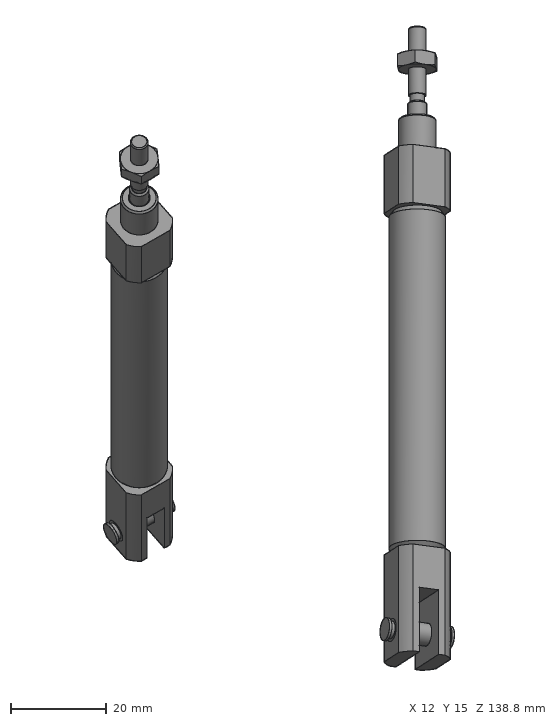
import cadquery as cq
import math

total_height = 138.8
clevis_top = 23.5
head_bottom = 98.4
head_top = 111.2
boss_top = 119.0

block_width = 12.0
block_corner_diameter = 14.0

tube_diameter = block_width
tube_cone_height = 1.1
tube_cone_depth = 0.8

boss_diameter = 7.9
boss_chamfer = 0.4
bore_mouth_chamfer = 0.3
bore_mouth_angle = 90

rod_diameter = 4.0
thread_diameter = 3.7
groove_diameter = 3.0
groove_bottom = 122.5
groove_top = 124.1
shoulder_chamfer = 0.4
rod_tip_chamfer = 0.3

slot_width = 4.5
slot_depth = 14.2

pin_height = 6.0
pin_diameter = 4.9
pin_length = 15.0
pin_disc_thickness = 0.5
pin_neck_diameter = 3.7

nut_bottom = 129.8
nut_thickness = 3.0
nut_across_flats = 7.9
nut_chamfer_angle = 20


def upright_cylinder(diameter, bottom, top):
    """Round bar on the Z axis between two heights."""
    return cq.Workplane("XY", origin=(0, 0, bottom)).circle(diameter / 2).extrude(top - bottom)


def coned_cylinder(diameter, bottom, top, cone_height, cone_depth):
    """Round bar on the Z axis, narrowed by a cone at both ends."""
    radius = diameter / 2
    end_radius = radius - cone_depth
    return (
        cq.Workplane("XZ")
        .moveTo(0, bottom)
        .lineTo(end_radius, bottom)
        .lineTo(radius, bottom + cone_height)
        .lineTo(radius, top - cone_height)
        .lineTo(end_radius, top)
        .lineTo(0, top)
        .close()
        .revolve(360, (0, 0, 0), (0, 1, 0))
    )


def end_block(bottom, top):
    """Square bar with rounded corners between two heights."""
    square = cq.Workplane("XY", origin=(0, 0, bottom)).rect(block_width, block_width).extrude(top - bottom)
    return square.intersect(upright_cylinder(block_corner_diameter, bottom, top))


def pin_cylinder(diameter, length):
    """Round bar along the pin axis, centred between the clevis cheeks."""
    return cq.Workplane("XZ", origin=(0, length / 2, pin_height)).circle(diameter / 2).extrude(length)


def make_clevis():
    """Lower block with the slot and the pin hole."""
    slot = cq.Workplane("XY").box(block_width, slot_width, slot_depth, centered=(True, True, False))
    return end_block(0, clevis_top).cut(slot).cut(pin_cylinder(pin_diameter, block_width))


def make_boss():
    """Boss with a bore through it, chamfered at the mouth."""
    boss = upright_cylinder(boss_diameter, head_top, boss_top).faces(">Z").chamfer(boss_chamfer)
    mouth_diameter = rod_diameter + 2 * bore_mouth_chamfer
    return boss.faces(">Z").workplane().cskHole(rod_diameter, mouth_diameter, bore_mouth_angle)


def make_housing():
    """Clevis, tube, head and boss as one solid."""
    tube = coned_cylinder(tube_diameter, clevis_top, head_bottom, tube_cone_height, tube_cone_depth)
    head = end_block(head_bottom, head_top)
    return make_clevis().union(tube).union(head).union(make_boss())


def make_nut():
    """Hexagon nut with two corners toward +Y and -Y, trimmed by a cone at each face."""
    across_corners = nut_across_flats / math.cos(math.pi / 6)
    corner_depth = (across_corners - nut_across_flats) / 2
    cone_height = corner_depth * math.tan(math.radians(nut_chamfer_angle))
    hexagon = (
        cq.Workplane("XY", origin=(0, 0, nut_bottom))
        .transformed(rotate=(0, 0, 90))
        .polygon(6, across_corners)
        .extrude(nut_thickness)
    )
    nut_top = nut_bottom + nut_thickness
    return hexagon.intersect(coned_cylinder(across_corners, nut_bottom, nut_top, cone_height, corner_depth))


def make_rod():
    """Rod seated at the bottom of the boss bore, with its nut."""
    shank = upright_cylinder(rod_diameter, head_top, groove_bottom).faces(">Z").chamfer(shoulder_chamfer)
    groove_core = upright_cylinder(groove_diameter, groove_bottom, groove_top)
    thread = upright_cylinder(thread_diameter, groove_top, total_height).faces(">Z").chamfer(rod_tip_chamfer)
    return shank.union(groove_core).union(thread).union(make_nut())


def make_pin():
    """Pin with a shank between the outer cheek faces, two necks and two end discs."""
    discs = pin_cylinder(pin_diameter, pin_length)
    discs = discs.cut(pin_cylinder(pin_diameter, pin_length - 2 * pin_disc_thickness))
    necks = pin_cylinder(pin_neck_diameter, pin_length)
    shank = pin_cylinder(pin_diameter, block_width)
    return shank.union(necks).union(discs)


housing = make_housing()
rod = make_rod()
pin = make_pin()

result = cq.Compound.makeCompound([housing.solids().val(), rod.solids().val(), pin.solids().val()])